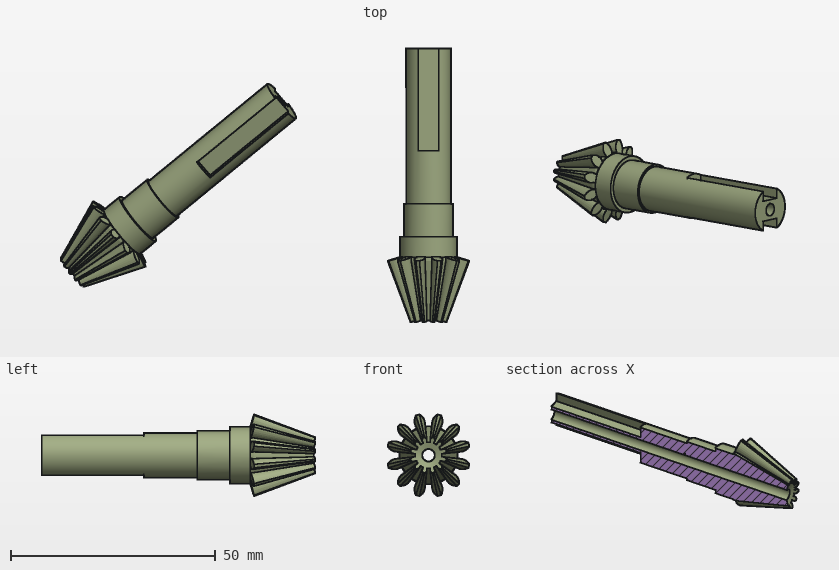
import cadquery as cq
import math


shaft_radius = 5.5
shaft_length = 38.0
journal_radius = 6.0
journal_length = 8.0
collar_radius = 7.0
collar_length = 5.0
bore_radius = 1.5
keyway_width = 5.0
keyway_length = 25.0
keyway_depth = 3.0

tooth_count = 12
gear_length = 15.91
heel_y = 15.0
tip_radius = 10.24
apex_distance = 26.8
root_radius = 7.12

root_half_width = 1.05
flank_half_width = 1.25
flank_radius = 8.4
tip_half_width = 0.45
flank_facets = 6

apex_y = heel_y - apex_distance
collar_end_y = gear_length + collar_length
journal_end_y = collar_end_y + journal_length
shaft_end_y = journal_end_y + shaft_length
toe_tip_radius = tip_radius * -apex_y / apex_distance
end_cone_slope = (gear_length - heel_y) / (tip_radius - root_radius)
dish_depth = end_cone_slope * toe_tip_radius

overrun = 1.0
toe_overrun = 1.0
heel_overrun = 2.0


def revolve_about_y(points):
    """Solid of revolution from (radius, y) points."""
    return cq.Workplane("XY").polyline(points).close().revolve(360, (0, 0, 0), (0, 1, 0))


def cone_radius(heel_radius, y):
    """Radius at position y of a cone that shares the gear apex."""
    return heel_radius * (y - apex_y) / apex_distance


def tooth_envelope():
    """Tip cone closed by the heel cone, which continues below the collar surface."""
    return revolve_about_y([
        (0, -toe_overrun),
        (cone_radius(tip_radius, -toe_overrun), -toe_overrun),
        (tip_radius, heel_y),
        (0, heel_y + end_cone_slope * tip_radius),
    ])


def core():
    """Root cone below the tooth gaps, then collar, journal and shaft."""
    return revolve_about_y([
        (0, -toe_overrun),
        (cone_radius(root_radius, -toe_overrun), -toe_overrun),
        (root_radius, heel_y),
        (root_radius, gear_length),
        (collar_radius, gear_length),
        (collar_radius, collar_end_y),
        (journal_radius, collar_end_y),
        (journal_radius, journal_end_y),
        (shaft_radius, journal_end_y),
        (shaft_radius, shaft_end_y),
        (0, shaft_end_y),
    ])


def toe_dish():
    """Cutter for the dished toe face, which falls toward the bore."""
    cutter_radius = toe_tip_radius + overrun
    return revolve_about_y([
        (0, dish_depth),
        (cutter_radius, -end_cone_slope * overrun),
        (cutter_radius, -toe_overrun - overrun),
        (0, -toe_overrun - overrun),
    ])


def half_width(radius):
    """Tooth half width at the heel: the parabola through the root, flank and tip widths."""
    knots = [
        (root_radius, root_half_width),
        (flank_radius, flank_half_width),
        (tip_radius, tip_half_width),
    ]
    total = 0.0
    for knot_radius, knot_width in knots:
        others = [r for r, _ in knots if r != knot_radius]
        total += knot_width * math.prod((radius - r) / (knot_radius - r) for r in others)
    return total


def flank_points():
    """(half width, radius) points along one flank, from root to tip."""
    step = (tip_radius - root_radius) / flank_facets
    radii = [root_radius + i * step for i in range(flank_facets + 1)]
    return [(half_width(radius), radius) for radius in radii]


def tooth_wire(y):
    """Tooth outline in the plane at y, scaled toward the cone apex."""
    scale = (y - apex_y) / apex_distance
    flank = flank_points()
    foot = (root_half_width, root_radius - overrun)
    crown = (tip_half_width, tip_radius + overrun)
    right = [foot] + flank + [crown]
    left = [(-x, z) for x, z in reversed(right)]
    points = [cq.Vector(x * scale, y, z * scale) for x, z in right + left]
    return cq.Wire.makePolygon(points, close=True)


def tooth():
    """One tooth pointing along +Z, tapered to the apex and trimmed at tip and heel."""
    toe_wire = tooth_wire(-toe_overrun - overrun)
    heel_wire = tooth_wire(gear_length + heel_overrun)
    blank = cq.Solid.makeLoft([toe_wire, heel_wire], True)
    return cq.Workplane(blank).intersect(tooth_envelope()).val()


def teeth():
    """All teeth, turned so that the gaps lie on the X and Z axes."""
    pitch = 360 / tooth_count
    first = tooth()
    return [first.rotate((0, 0, 0), (0, 1, 0), (i + 0.5) * pitch) for i in range(tooth_count)]


def keyway(side):
    """Open-ended keyway cutter; side is +1 for the top or -1 for the bottom."""
    return (
        cq.Workplane("XY")
        .box(keyway_width, keyway_length, keyway_depth)
        .translate((0, shaft_end_y - keyway_length / 2, side * (shaft_radius - keyway_depth / 2)))
    )


def bore():
    return cq.Workplane("XZ").circle(bore_radius).extrude(-shaft_end_y)


pinion = cq.Workplane(core().val().fuse(*teeth()))
result = pinion.cut(toe_dish()).cut(bore()).cut(keyway(1)).cut(keyway(-1))